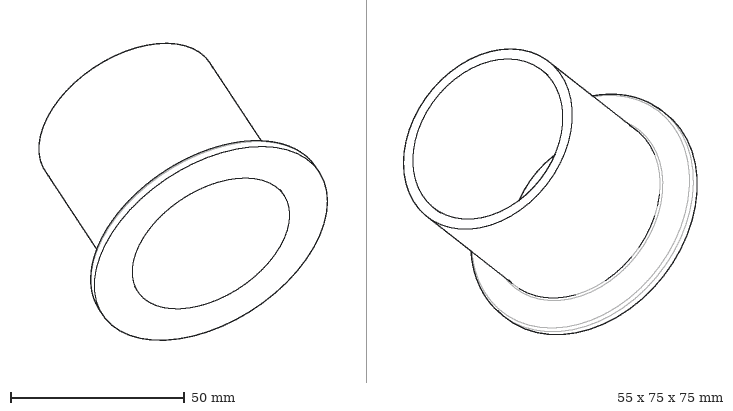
import cadquery as cq
import math

overall_length = 55.0
tube_radius = 57.0 / 2
bore_radius = 50.6 / 2

flange_radius = 75.0 / 2
rim_width = 2.2
taper_angle = 15.0
rim_fillet = 1.0
root_fillet = 0.7

taper_slope = math.tan(math.radians(taper_angle))
setback_factor = math.tan(math.radians((90 - taper_angle) / 2))

rim_corner_x = overall_length - rim_width - rim_fillet * setback_factor
root_corner_x = rim_corner_x - (flange_radius - tube_radius) * taper_slope


def circular_edge_at(body, x, radius):
    """Pick the circular edge of the given radius around the X axis at the given X."""
    margin = 0.01
    reach = radius + margin
    return body.edges(
        cq.selectors.BoxSelector(
            (x - margin, -reach, -reach), (x + margin, reach, reach), boundingbox=True
        )
    )


def flanged_tube():
    """Revolve the half section of the tube and flange around the X axis."""
    return (
        cq.Workplane("XY")
        .moveTo(0, bore_radius)
        .lineTo(0, tube_radius)
        .lineTo(root_corner_x, tube_radius)
        .lineTo(rim_corner_x, flange_radius)
        .lineTo(overall_length, flange_radius)
        .lineTo(overall_length, bore_radius)
        .close()
        .revolve(360, (0, 0, 0), (1, 0, 0))
    )


def round_back_face(body):
    """Fillet the outer and inner edges of the tapered back face."""
    body = circular_edge_at(body, rim_corner_x, flange_radius).fillet(rim_fillet)
    return circular_edge_at(body, root_corner_x, tube_radius).fillet(root_fillet)


result = round_back_face(flanged_tube())